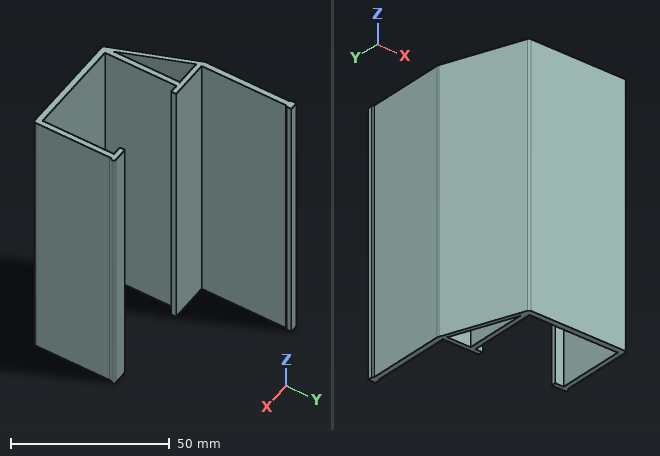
import cadquery as cq
import math

WIDTH = 52.8
DEPTH = 65.0
LENGTH = 100.0

FLANGE_LEFT = 0.4
FLANGE_WALL = 2.2
EDGE_WIDTH = 3.0
EDGE_STRAIGHT = 1.8
EDGE_TAPER = 0.7

WALL = 2.0
LIP_THICKNESS = 1.9
FLOOR = 2.3
LIP_TOP = 31.0
WEB_LEFT = 12.3
SHELF_END = 17.3
LIP_START = 46.8
BEAD_PROJECTION = 0.6
BEAD_RADIUS = 0.7
BLEND_RADIUS = 2.0

SLOPE_WALL = 1.6
CORNER_RADIUS = 1.0
BEND_RADIUS = 2.0

flange_right = FLANGE_LEFT + FLANGE_WALL
lip_bottom = LIP_TOP - LIP_THICKNESS
channel_right = WIDTH - BEAD_PROJECTION
channel_inner_right = channel_right - WALL
web_right = WEB_LEFT + WALL
edge_taper_top = DEPTH - EDGE_STRAIGHT
edge_taper_bottom = edge_taper_top - EDGE_TAPER

slope_run = (WEB_LEFT - FLANGE_LEFT) / LIP_TOP
slope_wall_across = SLOPE_WALL * math.hypot(1, slope_run)


def extrude(profile):
    return profile.close().extrude(LENGTH)


def block(left, right, bottom, top):
    return extrude(cq.Workplane("XY").polyline([(left, bottom), (right, bottom), (right, top), (left, top)]))


def slope_x(y):
    """X of the outer sloping face at height y in the section."""
    return WEB_LEFT - slope_run * y


def make_body():
    """Filled outline of flange and channel, leaving the right-hand lip corner for the bead."""
    outline = [
        (WEB_LEFT, 0),
        (channel_right, 0),
        (channel_right, lip_bottom),
        (channel_inner_right, lip_bottom),
        (channel_inner_right, LIP_TOP),
        (flange_right, LIP_TOP),
        (flange_right, edge_taper_bottom),
        (EDGE_WIDTH, edge_taper_top),
        (EDGE_WIDTH, DEPTH),
        (0, DEPTH),
        (0, edge_taper_top),
        (FLANGE_LEFT, edge_taper_bottom),
        (FLANGE_LEFT, LIP_TOP),
    ]
    body = extrude(cq.Workplane("XY").polyline(outline))
    for x in (WEB_LEFT, channel_right):
        corner = cq.selectors.NearestToPointSelector((x, 0, LENGTH / 2))
        body = body.edges(corner).fillet(CORNER_RADIUS)
    bend = cq.selectors.NearestToPointSelector((FLANGE_LEFT, LIP_TOP, LENGTH / 2))
    return body.edges(bend).fillet(BEND_RADIUS)


def make_triangular_cavity():
    """Hollow between the sloping wall, the shelf and the web."""
    cavity_bottom = slope_wall_across / slope_run
    top_left = slope_x(lip_bottom) + slope_wall_across
    corners = [(WEB_LEFT, cavity_bottom), (WEB_LEFT, lip_bottom), (top_left, lip_bottom)]
    return extrude(cq.Workplane("XY").polyline(corners))


def arc_point(center, radius, angle):
    """Point on a circle at an angle in radians."""
    return center[0] + radius * math.cos(angle), center[1] + radius * math.sin(angle)


def make_bead():
    """Rounded ridge on the right-hand lip, blended into the wall below by a concave arc."""
    bead_center = (WIDTH - BEAD_RADIUS, LIP_TOP - BEAD_RADIUS)
    center_distance = BEAD_RADIUS + BLEND_RADIUS
    blend_x = channel_right + BLEND_RADIUS
    join_angle = math.acos((blend_x - bead_center[0]) / center_distance)
    blend_center = arc_point(bead_center, center_distance, -join_angle)
    profile = (
        cq.Workplane("XY")
        .moveTo(channel_right, blend_center[1])
        .threePointArc(
            arc_point(blend_center, BLEND_RADIUS, math.pi - join_angle / 2),
            arc_point(bead_center, BEAD_RADIUS, -join_angle),
        )
        .threePointArc((WIDTH, bead_center[1]), (bead_center[0], LIP_TOP))
        .lineTo(channel_inner_right, LIP_TOP)
        .lineTo(channel_inner_right, blend_center[1])
    )
    return extrude(profile)


channel_cavity = block(web_right, channel_inner_right, FLOOR, lip_bottom)
mouth = block(SHELF_END, LIP_START, lip_bottom, LIP_TOP)

result = make_body().cut(make_triangular_cavity()).cut(channel_cavity).cut(mouth).union(make_bead()).clean()